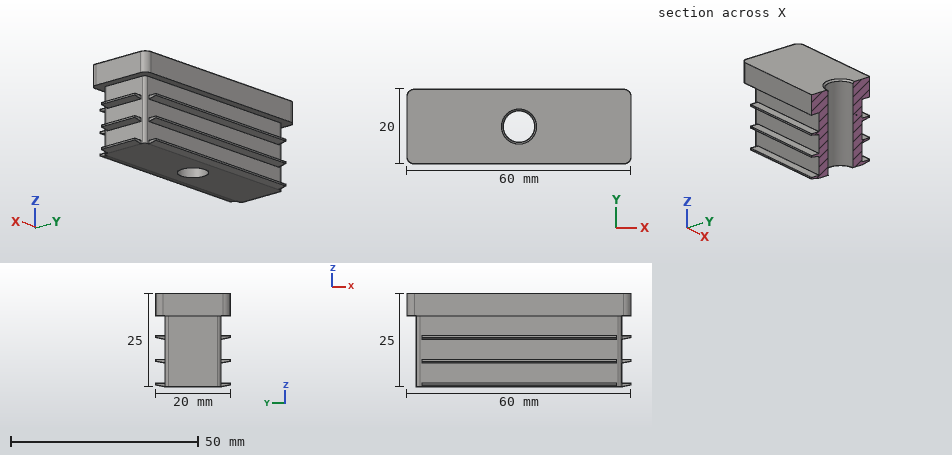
import cadquery as cq

head_length = 60.0
head_width = 20.0
head_height = 6.0
head_corner_radius = 2.0
total_height = 25.0

tube_wall = 2.5
plug_length = head_length - 2 * tube_wall
plug_width = head_width - 2 * tube_wall
plug_height = total_height - head_height
plug_corner_radius = 1.0

fin_rows = 3
fin_pitch = plug_height / fin_rows
fin_root_height = 1.0
fin_tip_height = 0.5
fin_reach = tube_wall
fin_end_gap = 1.5

hole_diameter = 8.38
hole_chamfer = 0.5
hole_chamfer_angle = 90.0


def rounded_block(length, width, height, corner_radius, base_z):
    """Block centred on the Z axis with rounded vertical edges."""
    block = cq.Workplane("XY").workplane(offset=base_z).rect(length, width).extrude(height)
    return block.edges("|Z").fillet(corner_radius)


def fin(face_distance, face_width, base_z, turn):
    """One fin on the plug face that lies face_distance from the axis.

    The fin is built pointing to +X and then turned about Z.
    """
    fin_length = face_width - 2 * fin_end_gap
    tip = face_distance + fin_reach
    top_z = base_z + fin_root_height
    profile = [
        (face_distance, base_z),
        (tip, top_z - fin_tip_height),
        (tip, top_z),
        (face_distance, top_z),
    ]
    body = cq.Workplane("XZ").polyline(profile).close().extrude(fin_length / 2, both=True)
    return body.rotate((0, 0, 0), (0, 0, 1), turn)


def add_fins(body):
    """Rows of fins on the +X, +Y and -Y faces; the -X face stays plain."""
    for row in range(fin_rows):
        base_z = row * fin_pitch
        body = body.union(fin(plug_length / 2, plug_width, base_z, 0))
        for turn in (90, -90):
            body = body.union(fin(plug_width / 2, plug_length, base_z, turn))
    return body


def cut_hole(body):
    """Vertical through hole with its upper edge chamfered."""
    return body.faces(">Z").workplane(origin=(0, 0, total_height)).cskHole(
        hole_diameter, hole_diameter + 2 * hole_chamfer, hole_chamfer_angle
    )


plug = rounded_block(plug_length, plug_width, plug_height, plug_corner_radius, 0)
head = rounded_block(head_length, head_width, head_height, head_corner_radius, plug_height)
result = cut_hole(add_fins(plug.union(head)))